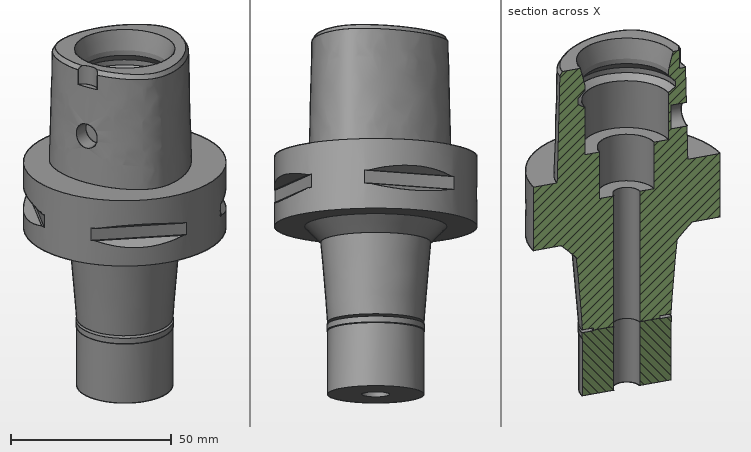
import cadquery as cq
import math


shank_height = 38.0
shank_mean_radius = 22.1
lobe_eccentricity = 1.4
taper_per_side = 1 / 40
shank_chamfer_height = 1.4
shank_chamfer_width = 0.9

mouth_radius = 15.6
bore_radius = 14.0
groove_radius = 16.4
mouth_depth = 6.4
groove_top_depth = 8.0
groove_wall_top_depth = 10.5
groove_wall_bottom_depth = 12.25
groove_bottom_depth = 13.9
bore_depth = 30.0
thread_hole_radius = 9.15
thread_hole_depth = 46.0
coolant_hole_radius = 4.35

notch_radius = 5.0
notch_width = 7.3
notch_inner_reach = 17.8
notch_depth = 6.2
cross_hole_radius = 4.0
cross_hole_z = 15.5
cross_hole_floor_y = -15.0

flange_radius = 31.5
flange_height = 22.0
slot_count = 4
slot_first_angle = 45.0
slot_floor_distance = 27.7
slot_wall_depth = 0.6
slot_z = -12.0
slot_floor_half_height = 2.05
slot_mouth_half_height = 3.9

collar_cone_radius = 22.1
neck_top_radius = 17.1
collar_cone_height = collar_cone_radius - neck_top_radius
neck_bottom_radius = 15.0
neck_bottom_z = -52.3
spigot_radius = 11.3

nut_top_z = -53.1
nut_bottom_z = -75.0
nut_radius = 15.0
nut_band_radius = 15.2
nut_band_height = 1.8
nut_step_height = 0.2


def lobed_wire(mean_radius, z):
    """Closed three-lobed curve of constant width, with one lobe toward +Y."""

    def point(t):
        angle = 2 * math.pi * t
        support = mean_radius + lobe_eccentricity * math.cos(3 * angle)
        slope = -3 * lobe_eccentricity * math.sin(3 * angle)
        along_lobe = support * math.cos(angle) - slope * math.sin(angle)
        across_lobe = support * math.sin(angle) + slope * math.cos(angle)
        return (-across_lobe, along_lobe, z)

    curve_points = 72
    points = [cq.Vector(*point(i / curve_points)) for i in range(curve_points)]
    return cq.Wire.assembleEdges([cq.Edge.makeSpline(points, periodic=True)])


def make_shank():
    chamfer_z = shank_height - shank_chamfer_height
    chamfer_radius = shank_mean_radius - chamfer_z * taper_per_side
    base = lobed_wire(shank_mean_radius, 0)
    shoulder = lobed_wire(chamfer_radius, chamfer_z)
    tip = lobed_wire(chamfer_radius - shank_chamfer_width, shank_height)
    taper = cq.Solid.makeLoft([base, shoulder], True)
    chamfer = cq.Solid.makeLoft([shoulder, tip], True)
    return cq.Workplane(taper).union(cq.Workplane(chamfer))


def make_flange_and_neck():
    cone_bottom_z = -flange_height - collar_cone_height
    return (
        cq.Workplane("XZ")
        .lineTo(flange_radius, 0)
        .lineTo(flange_radius, -flange_height)
        .lineTo(collar_cone_radius, -flange_height)
        .lineTo(neck_top_radius, cone_bottom_z)
        .lineTo(neck_bottom_radius, neck_bottom_z)
        .lineTo(spigot_radius, neck_bottom_z)
        .lineTo(spigot_radius, nut_top_z)
        .lineTo(0, nut_top_z)
        .close()
        .revolve(360, (0, 0, 0), (0, 1, 0))
    )


def make_interior():
    """Stepped axial bore with the internal clamping groove."""
    top = shank_height
    return (
        cq.Workplane("XZ")
        .moveTo(0, top)
        .lineTo(mouth_radius, top)
        .lineTo(bore_radius, top - mouth_depth)
        .lineTo(bore_radius, top - groove_top_depth)
        .lineTo(groove_radius, top - groove_wall_top_depth)
        .lineTo(groove_radius, top - groove_wall_bottom_depth)
        .lineTo(bore_radius, top - groove_bottom_depth)
        .lineTo(bore_radius, top - bore_depth)
        .lineTo(thread_hole_radius, top - bore_depth)
        .lineTo(thread_hole_radius, top - thread_hole_depth)
        .lineTo(coolant_hole_radius, top - thread_hole_depth)
        .lineTo(coolant_hole_radius, nut_top_z)
        .lineTo(0, nut_top_z)
        .close()
        .revolve(360, (0, 0, 0), (0, 1, 0))
    )


def make_orientation_notch():
    """Parallel-sided notch whose inner wall bulges toward the axis as a vertical cylinder."""
    plane = cq.Workplane("XY", origin=(0, -notch_inner_reach - notch_radius, shank_height - notch_depth))
    rounded = plane.circle(notch_radius).extrude(notch_depth)
    sides = plane.rect(notch_width, 2 * notch_radius).extrude(notch_depth)
    return rounded.intersect(sides)


def make_cross_hole():
    return (
        cq.Workplane("XZ", origin=(0, cross_hole_floor_y, cross_hole_z))
        .circle(cross_hole_radius)
        .extrude(flange_radius + cross_hole_floor_y)
    )


def make_gripper_slot(angle):
    """Straight slot cut across the flange rim: flat floor, short walls, then sloping flanks."""
    flank_start = slot_floor_distance + slot_wall_depth
    return (
        cq.Workplane("XZ")
        .moveTo(slot_floor_distance, slot_z - slot_floor_half_height)
        .lineTo(flank_start, slot_z - slot_floor_half_height)
        .lineTo(flange_radius, slot_z - slot_mouth_half_height)
        .lineTo(flange_radius, slot_z + slot_mouth_half_height)
        .lineTo(flank_start, slot_z + slot_floor_half_height)
        .lineTo(slot_floor_distance, slot_z + slot_floor_half_height)
        .close()
        .extrude(flange_radius, both=True)
        .rotate((0, 0, 0), (0, 0, 1), angle)
    )


def make_holder():
    holder = make_flange_and_neck().union(make_shank())
    holder = holder.cut(make_interior())
    holder = holder.cut(make_orientation_notch())
    holder = holder.cut(make_cross_hole())
    for i in range(slot_count):
        holder = holder.cut(make_gripper_slot(slot_first_angle + i * 360 / slot_count))
    return holder


def make_nut():
    band_bottom_z = nut_top_z - nut_band_height
    return (
        cq.Workplane("XZ")
        .moveTo(coolant_hole_radius, nut_top_z)
        .lineTo(nut_band_radius, nut_top_z)
        .lineTo(nut_band_radius, band_bottom_z)
        .lineTo(nut_radius, band_bottom_z - nut_step_height)
        .lineTo(nut_radius, nut_bottom_z)
        .lineTo(coolant_hole_radius, nut_bottom_z)
        .close()
        .revolve(360, (0, 0, 0), (0, 1, 0))
    )


holder = make_holder()
nut = make_nut()

result = cq.Compound.makeCompound([holder.val(), nut.val()])